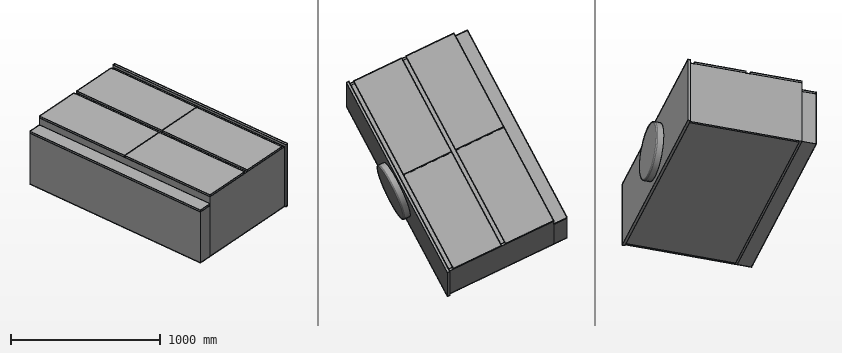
import cadquery as cq


worktop_width = 1500.0
worktop_height = 500.0
worktop_thickness = 20.0

board = 15.0
side_overhang = 10.0
worktop_reveal = 5.0
cabinet_width = worktop_width - 2 * side_overhang
front_top = worktop_height - worktop_reveal
cabinet_height = front_top - board
grip_gap = 30.0
drawer_length = 360.0
drawer_split = 3.0
drawer_rows = 2
drawer_pitch = grip_gap + drawer_length
cabinet_length = drawer_rows * drawer_pitch
drawer_width = (cabinet_width - drawer_split) / 2

plinth_length = 100.0
plinth_setback = 70.0
plinth_height = front_top - plinth_setback

basin_diameter = 400.0
basin_height = 50.0
basin_edge_radius = 8.0

cabinet_end = -cabinet_length
plinth_end = cabinet_end - plinth_length


def block(width, y_low, y_high, z_low, z_high, x_center=0.0):
    """Box centred on x_center, between the given Y and Z limits."""
    return (
        cq.Workplane("XY")
        .box(width, y_high - y_low, z_high - z_low, centered=(True, False, False))
        .translate((x_center, y_low, z_low))
    )


def make_worktop():
    return block(worktop_width, 0, worktop_thickness, 0, worktop_height)


def make_basin():
    """Round basin on the outer face of the worktop, with a rounded rim."""
    return (
        cq.Workplane("XZ", origin=(0, worktop_thickness, worktop_height / 2))
        .circle(basin_diameter / 2)
        .extrude(-basin_height)
        .faces(">Y")
        .edges()
        .fillet(basin_edge_radius)
    )


def make_core():
    """Inner block between the side boards, flush with their front edges."""
    return block(cabinet_width - 2 * board, cabinet_end + board, 0, 0, cabinet_height)


def make_carcass():
    """U-shaped carcass: two side boards joined by the board next to the plinth."""
    return block(cabinet_width, cabinet_end, 0, 0, cabinet_height).cut(make_core())


def make_drawer_front(row, side):
    """Drawer front in a row counted from the worktop, on the side -1 or +1 of X."""
    y_high = -grip_gap - row * drawer_pitch
    x_center = side * (drawer_width + drawer_split) / 2
    return block(drawer_width, y_high - drawer_length, y_high, cabinet_height, front_top, x_center)


def make_plinth():
    return block(cabinet_width, plinth_end, cabinet_end, 0, plinth_height - board)


def make_plinth_panel():
    """Facing board on the front of the plinth."""
    return block(cabinet_width, plinth_end, cabinet_end, plinth_height - board, plinth_height)


worktop = make_worktop()
basin = make_basin()
carcass = make_carcass()
core = make_core()
plinth = make_plinth()
plinth_panel = make_plinth_panel()
drawer_fronts = [make_drawer_front(row, side) for row in range(drawer_rows) for side in (-1, 1)]

result = cq.Compound.makeCompound([
    worktop.val(),
    basin.val(),
    carcass.val(),
    core.val(),
    plinth.val(),
    plinth_panel.val(),
    *[front.val() for front in drawer_fronts],
])